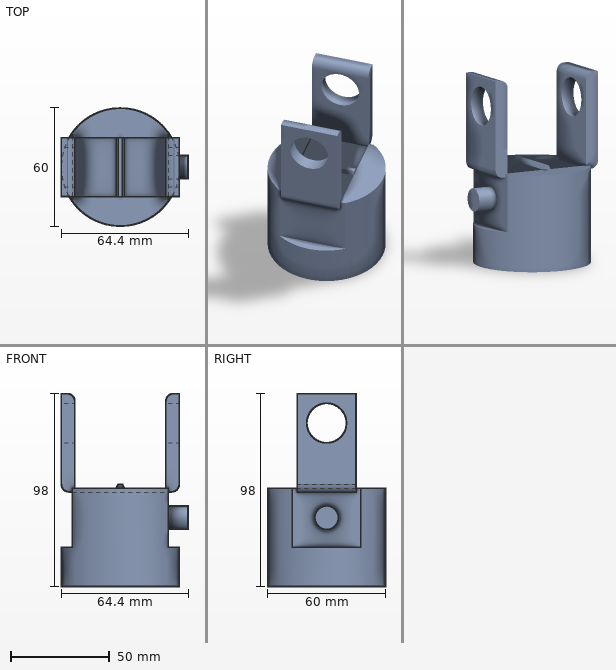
import cadquery as cq

base_radius = 30.0
base_height = 50.0
shoulder_height = 20.0
flat_offset = 24.4
channel_width = 30.0
channel_depth = 2.0
floor_height = base_height - channel_depth

boss_radius = 6.0
boss_height = (shoulder_height + base_height) / 2
boss_end = 34.4

lug_top = 98.0
lug_thickness = 7.0
lug_fillet = 4.0
eye_radius = 10.0
eye_drop = 15.0

bar_bottom_width = 4.1
bar_top_width = 2.1
bar_height = 2.1


def make_base():
    block = cq.Workplane("XY").circle(base_radius).extrude(shoulder_height)
    neck_height = base_height - shoulder_height
    neck = (
        cq.Workplane("XY", origin=(0, 0, shoulder_height))
        .circle(base_radius)
        .extrude(neck_height)
        .intersect(
            cq.Workplane("XY", origin=(0, 0, shoulder_height))
            .rect(2 * flat_offset, 2 * base_radius)
            .extrude(neck_height)
        )
    )
    channel = (
        cq.Workplane("XY", origin=(0, 0, floor_height))
        .rect(2 * base_radius, channel_width)
        .extrude(channel_depth)
    )
    boss = (
        cq.Workplane("YZ", origin=(flat_offset, 0, boss_height))
        .circle(boss_radius)
        .extrude(boss_end - flat_offset)
    )
    return block.union(neck).cut(channel).union(boss)


def make_lug(side):
    """Lug on the side of the given sign, flush with the base's outer radius."""
    center_x = side * (base_radius - lug_thickness / 2)
    plate = (
        cq.Workplane("XY", origin=(center_x, 0, floor_height))
        .rect(lug_thickness, channel_width)
        .extrude(lug_top - floor_height)
    )
    outer, inner = (">X", "<X") if side > 0 else ("<X", ">X")
    plate = plate.faces(outer).edges("<Z").fillet(lug_fillet)
    plate = plate.faces(inner).edges(">Z").fillet(lug_fillet)
    eye = (
        cq.Workplane("YZ", origin=(center_x, 0, lug_top - eye_drop))
        .circle(eye_radius)
        .extrude(lug_thickness, both=True)
    )
    relief = (
        cq.Workplane("XY", origin=(0, 0, floor_height))
        .rect(2 * flat_offset, channel_width)
        .extrude(channel_depth)
    )
    return plate.cut(eye).cut(relief)


def make_bar():
    """Bar along Y whose lower end edges rest on the two rims of the channel."""
    bar_top = base_height + bar_height
    return (
        cq.Workplane("XZ")
        .moveTo(-bar_bottom_width / 2, base_height)
        .lineTo(bar_bottom_width / 2, base_height)
        .lineTo(bar_top_width / 2, bar_top)
        .lineTo(-bar_top_width / 2, bar_top)
        .close()
        .extrude(channel_width / 2, both=True)
    )


base = make_base()
lugs = [make_lug(side) for side in (-1, 1)]
bar = make_bar()

result = cq.Compound.makeCompound([base.val(), *[lug.val() for lug in lugs], bar.val()])